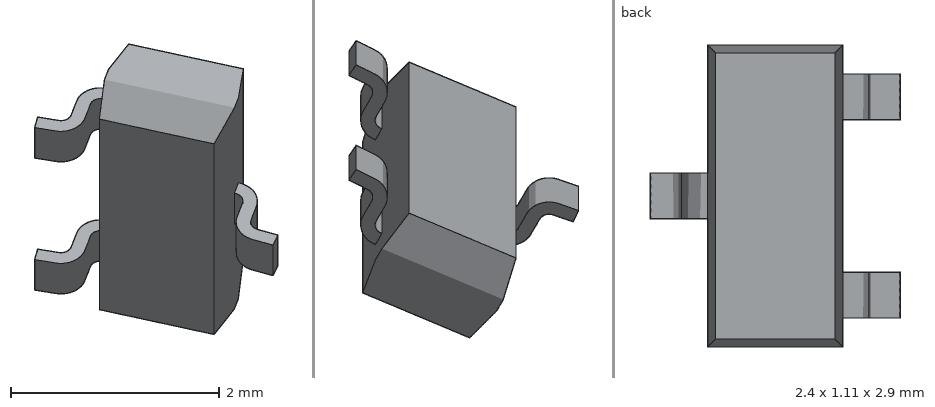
import cadquery as cq
import math

total_span = 2.4
body_width = 1.3
body_length = 2.9
body_thickness = 1.005
standoff = 0.105

lead_thickness = 0.14
band_thickness = lead_thickness
draft_angle = 10.0

lead_width = 0.44
lead_offset = 0.95
stub_length = 0.01
inner_radius = 0.102
outer_radius = inner_radius + lead_thickness
foot_angle = 4.0


def make_housing():
    """Block with a straight middle band and tapered front and back halves."""
    taper_depth = (body_thickness - band_thickness) / 2
    band = (
        cq.Workplane("XZ")
        .rect(body_width, body_length)
        .extrude(band_thickness / 2, both=True)
    )
    front = (
        band.faces("<Y").workplane()
        .rect(body_width, body_length)
        .extrude(taper_depth, taper=draft_angle, combine=False)
    )
    back = front.mirror("XZ")
    return band.union(front).union(back)


def make_lead(side, center_z):
    """Gull-wing lead; side is -1 or 1 for the housing's -X or +X face."""
    slope = math.radians(foot_angle)
    root_x = body_width / 2
    upper_x = root_x + stub_length
    upper_y = band_thickness / 2 - outer_radius
    lower_x = upper_x + outer_radius + inner_radius

    foot_length = (total_span / 2 - lower_x + inner_radius * math.sin(slope)) / math.cos(slope)
    lowest_y = -body_thickness / 2 - standoff
    lower_y = lowest_y + outer_radius * math.cos(slope) + foot_length * math.sin(slope)

    def upper_point(radius, angle):
        turn = math.radians(angle)
        return side * (upper_x + radius * math.cos(turn)), upper_y + radius * math.sin(turn)

    def lower_point(radius, angle, along=0):
        turn = math.radians(angle)
        x = lower_x + radius * math.cos(turn) + along * math.cos(slope)
        y = lower_y + radius * math.sin(turn) - along * math.sin(slope)
        return side * x, y

    bend_start = 180
    bend_end = 270 - foot_angle
    bend_middle = (bend_start + bend_end) / 2
    profile = (
        cq.Workplane("XY", origin=(0, 0, center_z))
        .moveTo(side * root_x, band_thickness / 2)
        .lineTo(*upper_point(outer_radius, 90))
        .threePointArc(upper_point(outer_radius, 45), upper_point(outer_radius, 0))
        .lineTo(*lower_point(inner_radius, bend_start))
        .threePointArc(lower_point(inner_radius, bend_middle), lower_point(inner_radius, bend_end))
        .lineTo(*lower_point(inner_radius, bend_end, foot_length))
        .lineTo(*lower_point(outer_radius, bend_end, foot_length))
        .lineTo(*lower_point(outer_radius, bend_end))
        .threePointArc(lower_point(outer_radius, bend_middle), lower_point(outer_radius, bend_start))
        .lineTo(*upper_point(inner_radius, 0))
        .threePointArc(upper_point(inner_radius, 45), upper_point(inner_radius, 90))
        .lineTo(side * root_x, -band_thickness / 2)
        .close()
    )
    return profile.extrude(lead_width / 2, both=True)


housing = make_housing()

lead_places = [(-1, -lead_offset), (-1, lead_offset), (1, 0)]
leads = [make_lead(side, center_z) for side, center_z in lead_places]

result = cq.Compound.makeCompound([housing.val(), *[lead.val() for lead in leads]])